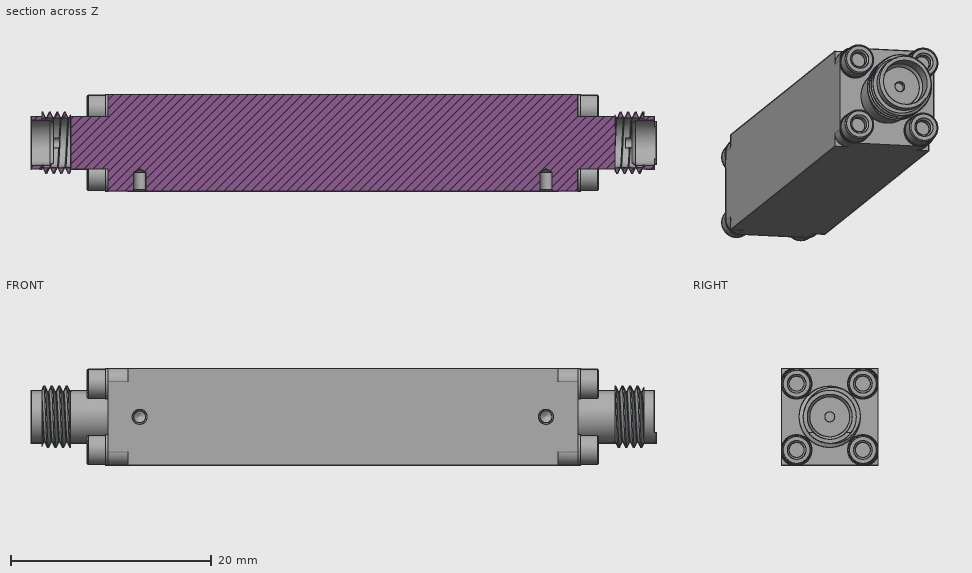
import cadquery as cq
import math

overall_length = 62.5
body_length = 43.0
body_width = 9.7
tip_tab_thickness = 0.2
tip_to_tip = overall_length - tip_tab_thickness
tip_x = -tip_to_tip / 2
body_end_x = -body_length / 2

flange_thickness = 2.0
flange_corner_radius = 1.3
flange_face_x = body_end_x - flange_thickness

head_diameter = 2.95
head_length = 1.8
head_chamfer = 0.1
washer_diameter = 3.05
washer_thickness = 0.25
screw_offset = (body_width - washer_diameter) / 2
socket_diameter = 1.5
socket_rim_diameter = 1.9
socket_depth = 0.95

barrel_diameter = 5.3
bore_diameter = 4.5
bore_depth = 1.9
bore_floor_diameter = 4.0
bore_taper_depth = 0.4
contact_diameter = 1.0
contact_depth = 0.6

thread_diameter = 6.1
thread_pitch = 0.75
thread_crest_width = 0.1
thread_root_diameter = 5.05
thread_root_width = 0.7
thread_root_overlap = 0.05
thread_start_from_tip = 1.05
thread_end_from_tip = 3.95
first_crest_from_tip = 1.3

side_hole_diameter = 1.2
side_hole_rim_diameter = 1.5
side_hole_depth = 1.9
side_hole_inset = 1.2
drill_point_angle = 118

tip_tab_top_z = -1.55


def x_cylinder(diameter, length, x, y=0, z=0):
    """Cylinder along X that starts at x and runs toward +X."""
    return cq.Workplane("YZ", origin=(x, y, z)).circle(diameter / 2).extrude(length)


def make_flange():
    return (
        cq.Workplane("YZ", origin=(flange_face_x, 0, 0))
        .rect(body_width, body_width)
        .extrude(flange_thickness)
        .edges("|X")
        .fillet(flange_corner_radius)
    )


def make_screw(y, z):
    """Round screw head on a washer, with a socket countersunk at its rim."""
    washer_x = flange_face_x - washer_thickness
    head_x = washer_x - head_length
    rim_chamfer = (socket_rim_diameter - socket_diameter) / 2
    head = (
        x_cylinder(head_diameter, head_length, head_x, y, z)
        .faces("<X")
        .chamfer(head_chamfer)
        .cut(x_cylinder(socket_diameter, socket_depth, head_x, y, z))
        .faces("<X")
        .edges(cq.selectors.RadiusNthSelector(0))
        .chamfer(rim_chamfer)
    )
    return head.union(x_cylinder(washer_diameter, washer_thickness, washer_x, y, z))


def make_thread():
    """Helical ridge with a crest at the top of the barrel, trimmed square at both ends."""
    root_radius = thread_root_diameter / 2 - thread_root_overlap
    crest_radius = thread_diameter / 2
    half_root = thread_root_width / 2
    half_crest = thread_crest_width / 2
    thread_length = thread_end_from_tip - thread_start_from_tip
    helix = cq.Wire.makeHelix(thread_pitch, thread_length + 2 * thread_pitch, root_radius)
    ridge = (
        cq.Workplane("XZ")
        .polyline([
            (root_radius, -half_root),
            (crest_radius, -half_crest),
            (crest_radius, half_crest),
            (root_radius, half_root),
        ])
        .close()
        .sweep(cq.Workplane(obj=helix), isFrenet=True)
    )
    ridge = ridge.rotate((0, 0, 0), (0, 1, 0), 90).rotate((0, 0, 0), (1, 0, 0), 180)
    ridge = ridge.translate((tip_x + first_crest_from_tip - thread_pitch, 0, 0))
    trim = x_cylinder(2 * thread_diameter, thread_length, tip_x + thread_start_from_tip)
    return ridge.intersect(trim)


def make_barrel():
    """Plain barrel, stepped down to the thread root along the threaded stretch."""
    barrel = x_cylinder(barrel_diameter, flange_face_x - tip_x, tip_x)
    thread_length = thread_end_from_tip - thread_start_from_tip
    thread_start_x = tip_x + thread_start_from_tip
    relief = x_cylinder(barrel_diameter, thread_length, thread_start_x).cut(
        x_cylinder(thread_root_diameter, thread_length, thread_start_x)
    )
    return barrel.cut(relief).union(make_thread())


def make_bore():
    """Round socket with a tapered bottom and a contact hole in its floor."""
    floor_depth = bore_depth + bore_taper_depth
    contact_end = floor_depth + contact_depth
    return (
        cq.Workplane("XY", origin=(tip_x, 0, 0))
        .moveTo(0, 0)
        .lineTo(0, bore_diameter / 2)
        .lineTo(bore_depth, bore_diameter / 2)
        .lineTo(floor_depth, bore_floor_diameter / 2)
        .lineTo(floor_depth, contact_diameter / 2)
        .lineTo(contact_end, contact_diameter / 2)
        .lineTo(contact_end, 0)
        .close()
        .revolve(360, (0, 0, 0), (1, 0, 0))
    )


def make_end():
    """Everything beyond the -X end of the body: flange, screws and connector."""
    end = make_flange()
    for y in (-screw_offset, screw_offset):
        for z in (-screw_offset, screw_offset):
            end = end.union(make_screw(y, z))
    return end.union(make_barrel()).cut(make_bore())


def make_side_hole(x):
    """Drilled hole with a countersunk rim and a conical bottom."""
    radius = side_hole_diameter / 2
    rim_radius = side_hole_rim_diameter / 2
    point_length = radius / math.tan(math.radians(drill_point_angle / 2))
    face_y = -body_width / 2
    full_depth_y = face_y + side_hole_depth
    return (
        cq.Workplane("XY", origin=(x, 0, 0))
        .moveTo(0, face_y)
        .lineTo(rim_radius, face_y)
        .lineTo(radius, face_y + rim_radius - radius)
        .lineTo(radius, full_depth_y)
        .lineTo(0, full_depth_y + point_length)
        .close()
        .revolve(360, (0, 0, 0), (0, 1, 0))
    )


def make_tip_tab():
    """Thin piece of the barrel's ring that stands beyond the +X tip."""
    ring = x_cylinder(barrel_diameter, tip_tab_thickness, -tip_x)
    ring = ring.cut(x_cylinder(bore_diameter, tip_tab_thickness, -tip_x))
    lower_block = cq.Workplane("XY", origin=(-tip_x, 0, tip_tab_top_z)).rect(
        barrel_diameter, barrel_diameter
    ).extrude(-barrel_diameter)
    return ring.intersect(lower_block)


body = cq.Workplane("XY").box(body_length, body_width, body_width)
for side in (-1, 1):
    body = body.cut(make_side_hole(side * (body_length / 2 - side_hole_inset)))

near_end = make_end()
far_end = near_end.rotate((0, 0, 0), (0, 1, 0), 180)
result = body.union(near_end).union(far_end).union(make_tip_tab())
result = result.translate((-tip_tab_thickness / 2, 0, 0))